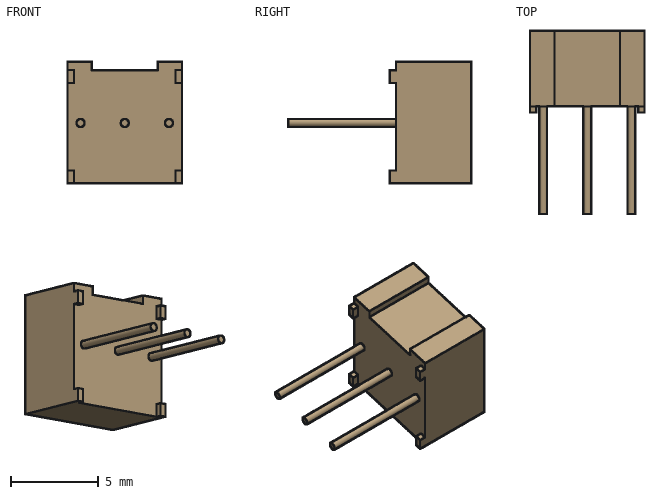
import cadquery as cq


total_length = 10.54

housing_width = 6.6
housing_depth = 4.34
housing_height = 7.0
shoulder_width = 1.41
channel_depth = 0.5
channel_width = housing_width - 2 * shoulder_width
channel_floor_z = housing_height - channel_depth

foot_width = 0.38
foot_height = 0.75
foot_length = 0.36
foot_x = (housing_width - foot_width) / 2
foot_bottoms = (0, channel_floor_z - foot_height)

pin_diameter = 0.46
pin_pitch = 2.54
pin_count = 3
pin_z = 3.47
pin_length = total_length - housing_depth


def make_block():
    """Plain block with its pin face on Y = 0."""
    return cq.Workplane("XY").box(
        housing_width, housing_depth, housing_height, centered=(True, False, False)
    )


def make_channel():
    """Cutter for the shallow channel along Y in the top of the housing."""
    return (
        cq.Workplane("XY")
        .workplane(offset=channel_floor_z)
        .box(channel_width, housing_depth, channel_depth, centered=(True, False, False))
    )


def make_foot(x, bottom_z):
    """Rectangular foot standing out from the pin face toward -Y."""
    return (
        cq.Workplane("XY")
        .box(foot_width, foot_length, foot_height, centered=(True, False, False))
        .translate((x, -foot_length, bottom_z))
    )


def make_housing():
    """Channelled block with its four feet, as one solid."""
    housing = make_block().cut(make_channel())
    for x in (-foot_x, foot_x):
        for bottom_z in foot_bottoms:
            housing = housing.union(make_foot(x, bottom_z))
    return housing


def make_pin(x):
    """Round pin that starts on the pin face and runs toward -Y."""
    return (
        cq.Workplane("XZ")
        .center(x, pin_z)
        .circle(pin_diameter / 2)
        .extrude(pin_length)
    )


housing = make_housing()

pins = []
for index in range(pin_count):
    pin_x = (index - (pin_count - 1) / 2) * pin_pitch
    pins.append(make_pin(pin_x).val())

result = cq.Compound.makeCompound([housing.val(), *pins])